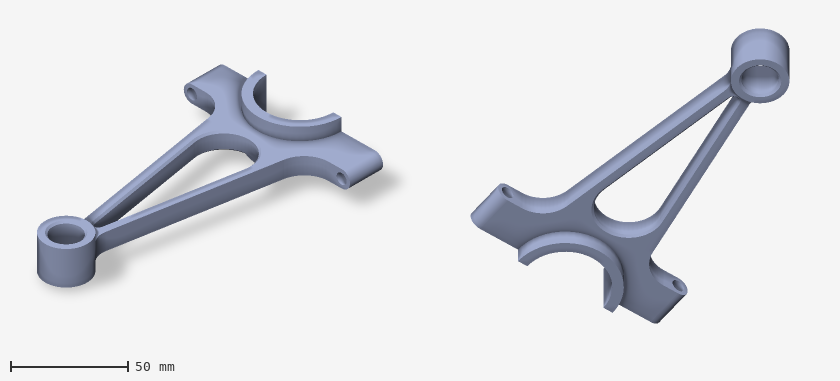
import cadquery as cq
import math

total_length = 154.0
total_width = 100.0
plate_thickness = 10.0

bearing_radius = 25.0
bearing_bore_radius = 20.0
bearing_height = 25.0
arm_depth = 20.0
bolt_hole_diameter = 6.0
arm_fillet = 15.0

boss_radius = 12.5
boss_height = 20.0
boss_bore_radius = 8.0
boss_fillet = 10.0
boss_y = boss_radius - total_length

window_wide_radius = 15.0
window_narrow_radius = 2.0
window_wide_y = -46.0
window_narrow_y = -122.0
rod_wall = 5.0
edge_chamfer = 1.0

search_margin = 0.8

taper_angle = math.asin((window_wide_radius - window_narrow_radius) / (window_wide_y - window_narrow_y))


def centred_cylinder(radius, height, y=0):
    return cq.Workplane("XY", origin=(0, y, -height / 2)).circle(radius).extrude(height)


def rod_half_width(y):
    """Distance from the centre line to the straight side of the rod at y."""
    side_offset = window_wide_radius + rod_wall
    return side_offset / math.cos(taper_angle) + (y - window_wide_y) * math.tan(taper_angle)


def make_arms():
    """Flat bar with full-round ends, drilled for a bolt at each end."""
    bolt_spacing = total_width - plate_thickness
    profile = cq.Workplane("XZ").slot2D(total_width, plate_thickness)
    arms = profile.extrude(arm_depth)
    holes = (
        cq.Workplane("XZ")
        .pushPoints([(-bolt_spacing / 2, 0), (bolt_spacing / 2, 0)])
        .circle(bolt_hole_diameter / 2)
        .extrude(arm_depth)
    )
    return arms.cut(holes)


def make_rod():
    """Straight-sided taper from inside the arms to the small-end centre."""
    top_y = -arm_depth / 2
    top_x = rod_half_width(top_y)
    bottom_x = rod_half_width(boss_y)
    outline = [(-top_x, top_y), (top_x, top_y), (bottom_x, boss_y), (-bottom_x, boss_y)]
    base = cq.Workplane("XY", origin=(0, 0, -plate_thickness / 2))
    return base.polyline(outline).close().extrude(plate_thickness)


def make_window():
    """Teardrop cutter through the full plate thickness."""
    sine = math.sin(taper_angle)
    cosine = math.cos(taper_angle)
    wide_x = window_wide_radius * cosine
    wide_tangent_y = window_wide_y - window_wide_radius * sine
    narrow_x = window_narrow_radius * cosine
    narrow_tangent_y = window_narrow_y - window_narrow_radius * sine
    return (
        cq.Workplane("XY")
        .workplane(offset=-plate_thickness / 2)
        .moveTo(-wide_x, wide_tangent_y)
        .threePointArc((0, window_wide_y + window_wide_radius), (wide_x, wide_tangent_y))
        .lineTo(narrow_x, narrow_tangent_y)
        .threePointArc((0, window_narrow_y - window_narrow_radius), (-narrow_x, narrow_tangent_y))
        .close()
        .extrude(plate_thickness)
    )


def fillet_corners(plate, y_min, y_max, radius):
    """Round the mirrored pair of upright corners lying between two Y limits."""
    reach = total_width / 2 - plate_thickness
    corners = cq.selectors.BoxSelector(
        (-reach, y_min, -plate_thickness), (reach, y_max, plate_thickness)
    )
    return plate.edges("|Z").edges(corners).fillet(radius)


plate = make_arms().union(make_rod())
plate = plate.union(centred_cylinder(boss_radius, plate_thickness, boss_y))
plate = fillet_corners(plate, -arm_depth - search_margin, -arm_depth + search_margin, arm_fillet)
plate = fillet_corners(plate, boss_y + search_margin, boss_y + boss_radius, boss_fillet)

plate = plate.cut(make_window())
for side in (">Z", "<Z"):
    rim = plate.faces(side).val().innerWires()[0]
    plate = plate.newObject(rim.Edges()).chamfer(edge_chamfer)

half_space = cq.Workplane("XY").box(
    total_width, total_length, bearing_height, centered=(True, False, True)
)
bearing = centred_cylinder(bearing_radius, bearing_height).cut(half_space)
bearing_bore = centred_cylinder(bearing_bore_radius, bearing_height)

boss = centred_cylinder(boss_radius, boss_height, boss_y)
boss_bore = centred_cylinder(boss_bore_radius, boss_height, boss_y)
boss = boss.cut(boss_bore)
boss = boss.faces("<Z or >Z").edges(cq.selectors.RadiusNthSelector(0)).chamfer(edge_chamfer)

boss_space = centred_cylinder(boss_radius, boss_height, boss_y)
result = plate.union(bearing).cut(bearing_bore).cut(boss_space).union(boss)